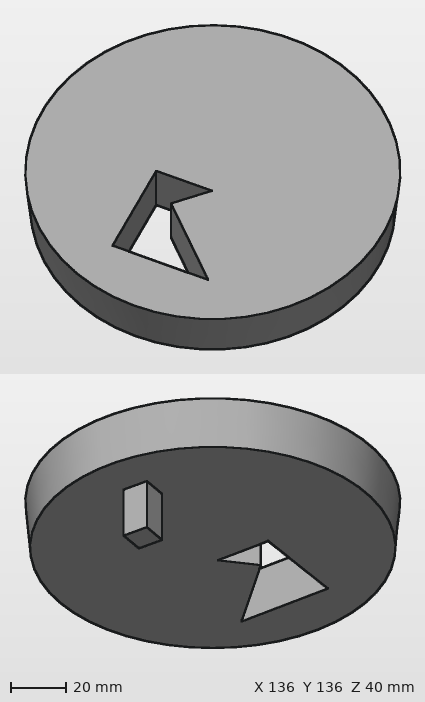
import cadquery as cq

top_radius = 68.0
bottom_radius = 66.2
disc_height = 20.0

peg_side = 10.0
peg_length = disc_height
peg_center = (0.8, 44.6)

window_corners = [
    (-19.0, -7.6),
    (3.1, -8.0),
    (-8.2, -19.3),
    (18.2, -46.4),
    (-19.9, -45.5),
]


def tapered_disc():
    return (
        cq.Workplane("XY")
        .circle(bottom_radius)
        .workplane(offset=disc_height)
        .circle(top_radius)
        .loft(ruled=True)
    )


def peg():
    return cq.Workplane("XY").center(*peg_center).rect(peg_side, peg_side).extrude(-peg_length)


def window():
    return cq.Workplane("XY").polyline(window_corners).close().extrude(disc_height)


result = tapered_disc().cut(window()).union(peg())